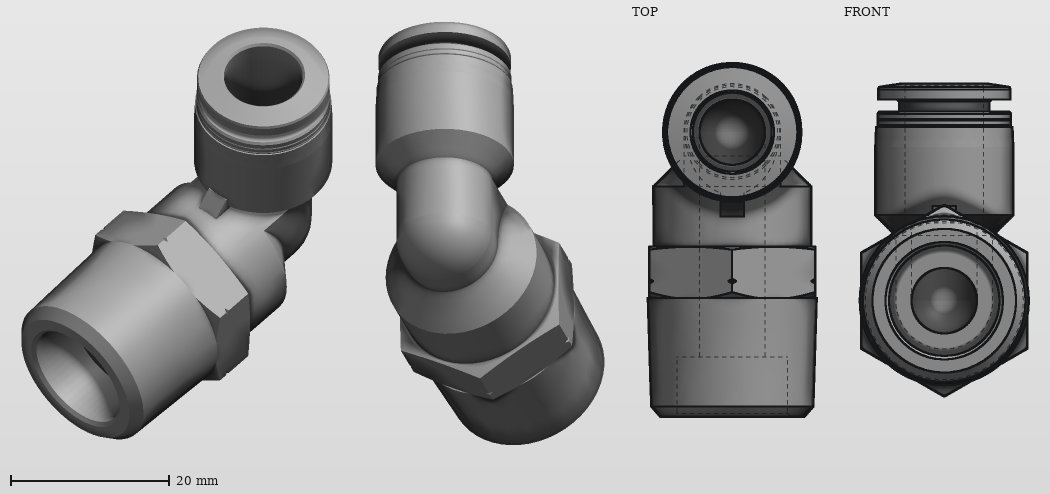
import cadquery as cq
import math


collar_top = 27.48
collar_rim_height = 27.05
collar_edge_height = 26.7
collar_bottom = 25.4
sleeve_top = 23.9
ring_line_heights = (22.85, 22.15)
body_top = 21.93
body_taper_end = 19.38
body_bottom = 10.85
collar_top_radius = 5.3
collar_rim_radius = 8.25
collar_radius = 16.8 / 2
neck_radius = 11.5 / 2
neck_chamfer = 0.22
sleeve_radius = 16.9 / 2
sleeve_chamfer = 0.25
ring_line_size = 0.1
body_top_radius = 8.65
body_radius = 17.5 / 2

elbow_radius = 6.15
barrel_radius = 20.0 / 2
barrel_start = 6.9
rib_width = 2.9
rib_reach = 10.7

hex_across_flats = 21.0
hex_start = 14.45
thread_start = 21.0
hex_back_radius = 10.35
hex_back_chamfer = 0.4
hex_front_chamfer_angle = math.radians(28)
hex_groove_position = 18.85
hex_groove_width = 0.6
hex_groove_depth = 0.25
overall_length = 44.75
thread_end = overall_length - body_radius
thread_chamfer_length = 1.35
thread_radius = 21.4 / 2
thread_taper = 1 / 32
thread_tip_radius = 9.1

passage_radius = 8.3 / 2
tube_bore_radius = 10.0 / 2
tube_bore_floor = 9.85
tube_bore_chamfer = collar_top_radius - tube_bore_radius
thread_bore_radius = 13.95 / 2
thread_bore_floor = 28.4
thread_bore_chamfer = 0.45


def turned(profile):
    """Revolve (radius, height) points, closed on the axis, around Z."""
    points = [(0, profile[0][1])] + profile + [(0, profile[-1][1])]
    return cq.Workplane("XZ").polyline(points).close().revolve(360, (0, 0), (0, 1))


def along_thread(solid):
    """Turn a solid built along +Z so that it points along -Y."""
    return solid.rotate((0, 0, 0), (1, 0, 0), 90)


def tube_port():
    profile = [
        (elbow_radius, 0),
        (elbow_radius, body_bottom - (body_radius - elbow_radius)),
        (body_radius, body_bottom),
        (body_radius, body_taper_end),
        (body_top_radius, body_top),
        (sleeve_radius, body_top),
    ]
    for height in reversed(ring_line_heights):
        profile += [
            (sleeve_radius, height - ring_line_size),
            (sleeve_radius - ring_line_size, height),
            (sleeve_radius, height + ring_line_size),
        ]
    profile += [
        (sleeve_radius, sleeve_top - sleeve_chamfer),
        (sleeve_radius - sleeve_chamfer, sleeve_top),
        (neck_radius, sleeve_top),
        (neck_radius, collar_bottom - neck_chamfer),
        (neck_radius + neck_chamfer, collar_bottom),
        (collar_radius, collar_bottom),
        (collar_radius, collar_edge_height),
        (collar_rim_radius, collar_rim_height),
        (collar_top_radius, collar_top),
    ]
    return turned(profile)


def barrel():
    cone_start = barrel_start - (barrel_radius - elbow_radius)
    round_part = turned([
        (elbow_radius, 0),
        (elbow_radius, cone_start),
        (barrel_radius, barrel_start),
        (barrel_radius, thread_start),
    ])
    upper_part = cq.Workplane("XZ").circle(barrel_radius).extrude(barrel_start)
    flat_sides = cq.Workplane("XY").box(
        2 * elbow_radius, 2 * barrel_start, barrel_radius, centered=(True, True, False)
    )
    return along_thread(round_part).union(upper_part.intersect(flat_sides))


def rib():
    """Small 45-degree web between the barrel and the tube port body."""
    height = rib_reach + barrel_radius - body_radius
    profile = [
        (-elbow_radius, elbow_radius),
        (-elbow_radius, height),
        (-body_radius, height),
        (-rib_reach, barrel_radius),
        (-rib_reach, elbow_radius),
    ]
    return cq.Workplane("YZ").polyline(profile).close().extrude(rib_width / 2, both=True)


def hexagon():
    corner_radius = hex_across_flats / 2 / math.cos(math.pi / 6)
    prism = (
        cq.Workplane("XY", origin=(0, 0, hex_start))
        .polygon(6, 2 * corner_radius)
        .extrude(thread_start - hex_start)
        .rotate((0, 0, 0), (0, 0, 1), 30)
    )
    front_chamfer = (corner_radius - thread_radius) * math.tan(hex_front_chamfer_angle)
    envelope = turned([
        (hex_back_radius, hex_start),
        (corner_radius, hex_start + hex_back_chamfer),
        (corner_radius, hex_groove_position - hex_groove_width / 2),
        (corner_radius - hex_groove_depth, hex_groove_position),
        (corner_radius, hex_groove_position + hex_groove_width / 2),
        (corner_radius, thread_start - front_chamfer),
        (thread_radius, thread_start),
    ])
    return along_thread(prism.intersect(envelope))


def thread():
    chamfer_start = thread_end - thread_chamfer_length
    return along_thread(turned([
        (thread_radius, thread_start),
        (thread_radius - (chamfer_start - thread_start) * thread_taper, chamfer_start),
        (thread_tip_radius, thread_end),
    ]))


def stepped_bore(bore_radius, floor, mouth, chamfer):
    """Passage from the origin that widens at the floor and flares at the mouth."""
    return turned([
        (passage_radius, 0),
        (passage_radius, floor),
        (bore_radius, floor),
        (bore_radius, mouth - chamfer),
        (bore_radius + chamfer, mouth),
    ])


outside = (
    tube_port()
    .union(cq.Workplane("XY").sphere(elbow_radius))
    .union(barrel())
    .union(rib())
    .union(hexagon())
    .union(thread())
)
tube_bore = stepped_bore(tube_bore_radius, tube_bore_floor, collar_top, tube_bore_chamfer)
thread_bore = along_thread(
    stepped_bore(thread_bore_radius, thread_bore_floor, thread_end, thread_bore_chamfer)
)
result = (
    outside
    .cut(tube_bore)
    .cut(thread_bore)
    .cut(cq.Workplane("XY").sphere(passage_radius))
)